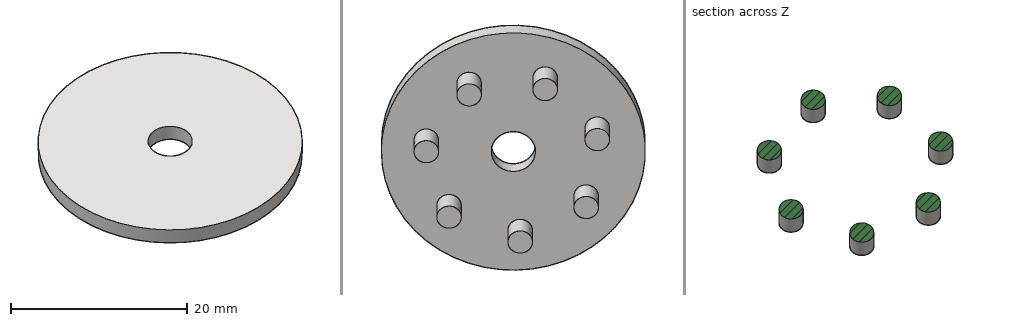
import cadquery as cq

disc_diameter = 30.0
disc_thickness = 2.0
bore_diameter = 5.0
pin_diameter = 2.8
pin_length = 3.0
pin_count = 7
pin_circle_radius = 10.0
first_pin_angle = -90.0

disc = (
    cq.Workplane("XY")
    .circle(disc_diameter / 2)
    .circle(bore_diameter / 2)
    .extrude(disc_thickness)
)

pins = (
    cq.Workplane("XY")
    .polarArray(pin_circle_radius, first_pin_angle, 360, pin_count)
    .circle(pin_diameter / 2)
    .extrude(-pin_length)
)

result = disc.union(pins)